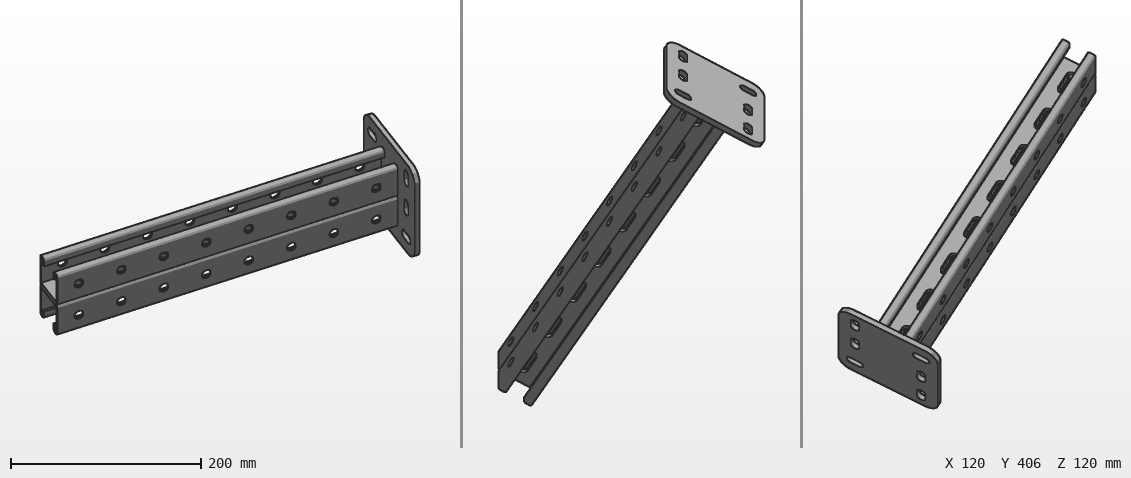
import cadquery as cq

total_length = 406.0
plate_side = 120.0
plate_thickness = 6.0
plate_corner_radius = 16.0

channel_size = 41.0
channel_length = total_length - plate_thickness
wall_thickness = 2.5
web_thickness = 3.0
bend_radius = 3.5
lip_width = 9.7
lip_thickness = 3.0
lip_depth = 10.0

hole_count = 8
hole_pitch = 50.0
hole_diameter = 10.5
hole_height = 21.5
web_slot_length = 27.5
web_slot_width = 11.0

plate_slot_length = 20.0
plate_slot_width = 10.0
plate_slot_spacing = 80.0

half_width = channel_size / 2
hole_margin = (channel_length - (hole_count - 1) * hole_pitch) / 2
hole_positions = [-hole_margin - i * hole_pitch for i in range(hole_count)]


def block(x_min, x_max, z_min, z_max):
    """Bar running the full channel length, from the plate at Y = 0 towards -Y."""
    size = (x_max - x_min, channel_length, z_max - z_min)
    return cq.Workplane("XY").box(*size, centered=False).translate((x_min, -channel_length, z_min))


def upper_channel():
    """Channel with its web resting on Z = 0, open at the top between two inward lips."""
    outer = block(-half_width, half_width, 0, channel_size).edges("|Y").fillet(bend_radius)
    cavity_half_width = half_width - wall_thickness
    cavity_top = channel_size - wall_thickness
    cavity = block(-cavity_half_width, cavity_half_width, web_thickness, cavity_top)

    lip_edge = half_width - lip_width
    lip_bottom = channel_size - lip_depth
    lips = block(-lip_edge - lip_thickness, lip_edge + lip_thickness, lip_bottom, channel_size)
    mouth = block(-lip_edge, lip_edge, web_thickness, 2 * channel_size)
    channel = outer.cut(cavity).union(lips).cut(mouth)

    for side in (-1, 1):
        edge_middle = (side * lip_edge, -channel_length / 2, channel_size)
        mouth_edge = cq.selectors.NearestToPointSelector(edge_middle)
        channel = channel.edges(mouth_edge).fillet(bend_radius)
    return channel


def side_holes():
    """Round holes through both side walls of both channels."""
    centers = [(y, z) for y in hole_positions for z in (-hole_height, hole_height)]
    return cq.Workplane("YZ").pushPoints(centers).circle(hole_diameter / 2).extrude(half_width, both=True)


def web_slots():
    """Lengthwise slots through the joined webs."""
    centers = [(0, y) for y in hole_positions]
    slots = cq.Workplane("XY").pushPoints(centers).slot2D(web_slot_length, web_slot_width, 90)
    return slots.extrude(2 * web_thickness, both=True)


def plate_slots(centers, angle):
    """Fixing slots through the plate, turned by an angle from the X axis."""
    slots = cq.Workplane("XZ").pushPoints(centers).slot2D(plate_slot_length, plate_slot_width, angle)
    return slots.extrude(-plate_thickness)


def end_plate():
    """Rounded square plate with slots in two columns, against the channel ends."""
    plate = cq.Workplane("XZ").rect(plate_side, plate_side).extrude(-plate_thickness)
    plate = plate.edges("|Y").fillet(plate_corner_radius)
    offset = plate_slot_spacing / 2
    upright = [(-offset, 0), (offset, 0), (-offset, -offset), (offset, offset)]
    level = [(-offset, offset), (offset, -offset)]
    return plate.cut(plate_slots(upright, 90)).cut(plate_slots(level, 0))


top_channel = upper_channel()
bottom_channel = top_channel.mirror("XY")
arm = top_channel.union(bottom_channel).cut(side_holes()).cut(web_slots())
result = arm.union(end_plate())